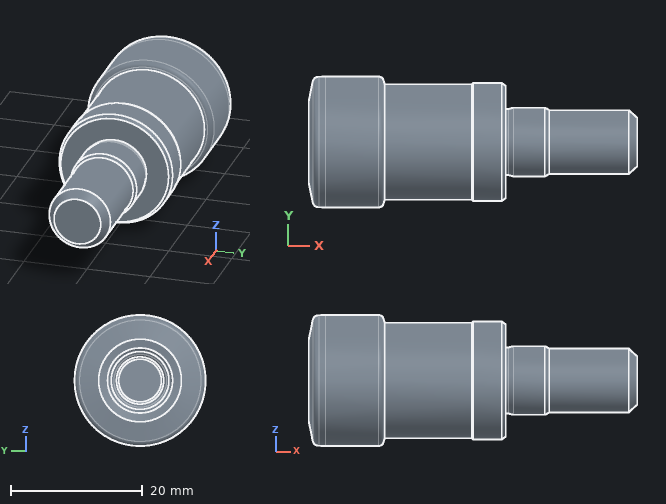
import cadquery as cq


head_radius = 10.0
head_end = 11.6
rear_round = 0.9
rear_round_start = 10.6
rear_edge_x = 11.45
rear_edge_radius = 9.2
face_edge_x = 0.6
face_edge_radius = 9.25
front_round = 0.95
front_round_end = 1.5
front_round_radius = 9.95
head_straight_start = 2.55
rim_radius = 6.3

mouth_x = 0.3
mouth_radius = 4.95
wall_round = 0.7

core_radius = 4.4
core_start = 1.1
recess_rim_radius = 4.0
recess_rim_x = 1.35
recess_step_radius = 3.6
recess_step_x = 1.8
floor_radius = 3.25
floor_x = 2.0

sleeve_radius = 17.6 / 2
collar_radius = 18.0 / 2
collar_start = 25.0
collar_end = 30.0
collar_front_chamfer = 0.2
collar_rear_chamfer = 0.65
collar_face_radius = 8.55

neck_radius = 5.05
neck_end = 30.4
land_radius = 10.5 / 2
land_start = 31.15
land_end = 35.95
pin_radius = 9.75 / 2
pin_start = 36.6
tip_radius = 3.7
tip_chamfer = 1.3
total_length = 49.95


def revolve_about_x(profile):
    """Close a profile drawn as (x, radius) and turn it once about the X axis."""
    return profile.close().revolve(360, (0, 0, 0), (1, 0, 0))


def make_head():
    """Ring-shaped knob with rounded edges, a conical front face and a dished mouth."""
    profile = (
        cq.Workplane("XY")
        .moveTo(head_end, core_radius)
        .lineTo(core_start, core_radius)
        .radiusArc((mouth_x, mouth_radius), -wall_round)
        .lineTo(0, rim_radius)
        .lineTo(face_edge_x, face_edge_radius)
        .radiusArc((front_round_end, front_round_radius), front_round)
        .lineTo(head_straight_start, head_radius)
        .lineTo(rear_round_start, head_radius)
        .radiusArc((rear_edge_x, rear_edge_radius), rear_round)
        .lineTo(head_end, sleeve_radius)
    )
    return revolve_about_x(profile)


def make_body():
    """Core with a recessed end, then the sleeve, collar and stepped shank behind the head."""
    profile = (
        cq.Workplane("XY")
        .moveTo(floor_x, 0)
        .lineTo(floor_x, floor_radius)
        .lineTo(recess_step_x, recess_step_radius)
        .lineTo(recess_rim_x, recess_rim_radius)
        .lineTo(core_start, core_radius)
        .lineTo(head_end, core_radius)
        .lineTo(head_end, sleeve_radius)
        .lineTo(collar_start - collar_front_chamfer, sleeve_radius)
        .lineTo(collar_start, collar_radius)
        .lineTo(collar_end - collar_rear_chamfer, collar_radius)
        .lineTo(collar_end, collar_face_radius)
        .lineTo(collar_end, neck_radius)
        .lineTo(neck_end, neck_radius)
        .lineTo(land_start, land_radius)
        .lineTo(land_end, land_radius)
        .lineTo(pin_start, pin_radius)
        .lineTo(total_length - tip_chamfer, pin_radius)
        .lineTo(total_length, tip_radius)
        .lineTo(total_length, 0)
    )
    return revolve_about_x(profile)


head = make_head()
body = make_body()

result = cq.Compound.makeCompound([head.val(), body.val()])